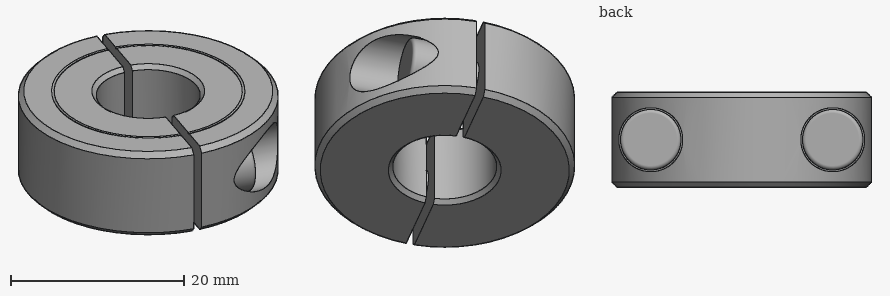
import cadquery as cq


outer_diameter = 30.0
bore_diameter = 12.0
width = 11.0
outer_chamfer = 0.63
bore_chamfer = 0.5
split_gap = 1.0

groove_centre_radius = 11.0
groove_round_radius = 0.15

screw_offset = 10.5
shank_diameter = 4.0
shank_length = 10.0
head_diameter = 7.0
head_height = 4.0
head_top_y = 7.77
head_fillet = 0.45
head_seat_y = head_top_y - head_height

counterbore_diameter = 7.38

screw_positions = (-screw_offset, screw_offset)


def cylinder_along_y(x, start_y, diameter, length):
    """Cylinder at mid-width whose axis runs from start_y towards +Y."""
    disc = cq.Workplane("XZ", origin=(x, start_y, 0)).circle(diameter / 2)
    return disc.extrude(-length)


def make_ring():
    """Full chamfered ring with the marking groove, before it is split."""
    ring = cq.Workplane("XY").circle(outer_diameter / 2).extrude(width / 2, both=True)
    ring = ring.faces("<Z or >Z").edges().chamfer(outer_chamfer)
    bore = cq.Workplane("XY").circle(bore_diameter / 2).extrude(width / 2, both=True)
    ring = ring.cut(bore)
    bore_rims = cq.selectors.RadiusNthSelector(0)
    ring = ring.faces("<Z or >Z").edges(bore_rims).chamfer(bore_chamfer)
    groove = cq.Solid.makeTorus(groove_centre_radius, groove_round_radius, cq.Vector(0, 0, width / 2))
    return ring.cut(groove)


def make_half(side):
    """Plain half ring on the +Y side (side = 1) or the -Y side (side = -1)."""
    half_block = cq.Workplane("XY").box(outer_diameter, outer_diameter, width)
    half_block = half_block.translate((0, side * (outer_diameter + split_gap) / 2, 0))
    return make_ring().intersect(half_block)


def make_shank(x):
    """Screw shank below the head, also the shape of the hole it fills."""
    return cylinder_along_y(x, head_seat_y - shank_length, shank_diameter, shank_length)


def make_screw(x):
    """Cap screw with a rounded head, pointing towards -Y."""
    head = cylinder_along_y(x, head_seat_y, head_diameter, head_height)
    head = head.faces(">Y").edges().fillet(head_fillet)
    return head.union(make_shank(x))


def cut_screw_holes(half):
    """Cut the part of each shank hole that lies in this half."""
    for x in screw_positions:
        half = half.cut(make_shank(x))
    return half


def cut_counterbores(half):
    """Cut the head recesses from the head seat out through the rim."""
    for x in screw_positions:
        half = half.cut(cylinder_along_y(x, head_seat_y, counterbore_diameter, outer_diameter / 2))
    return half


head_half = cut_counterbores(cut_screw_holes(make_half(1)))
threaded_half = cut_screw_holes(make_half(-1))
screws = [make_screw(x) for x in screw_positions]

result = cq.Compound.makeCompound(
    [head_half.val(), threaded_half.val(), *[screw.val() for screw in screws]]
)